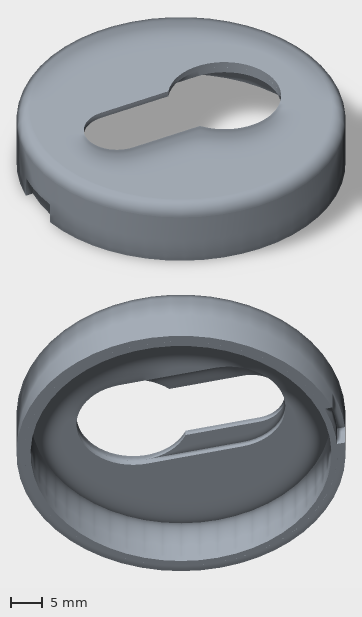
import cadquery as cq

outer_diameter = 52.0
height = 10.5
sheet = 1.0
cover_wall = 1.25
rim_fillet = 2.05

keyhole_length = 33.5
barrel_diameter = 17.9
slot_width = 10.5

notch_width = 8.0
notch_height = 3.5

outer_radius = outer_diameter / 2
cover_inner_radius = outer_radius - cover_wall
liner_inner_radius = cover_inner_radius - sheet
liner_height = height - sheet
liner_inner_height = liner_height - sheet
barrel_y = (keyhole_length - barrel_diameter) / 2
slot_end_y = (slot_width - keyhole_length) / 2


def disc(radius, thickness):
    """Solid disc on the Z axis, standing on z = 0."""
    return cq.Workplane("XY").circle(radius).extrude(thickness)


def keyhole_cutter():
    """Barrel circle joined to a straight slot with a round end."""
    barrel = cq.Workplane("XY").center(0, barrel_y).circle(barrel_diameter / 2).extrude(height)
    slot = (
        cq.Workplane("XY")
        .moveTo(-slot_width / 2, barrel_y)
        .lineTo(-slot_width / 2, slot_end_y)
        .threePointArc((0, -keyhole_length / 2), (slot_width / 2, slot_end_y))
        .lineTo(slot_width / 2, barrel_y)
        .close()
        .extrude(height)
    )
    return barrel.union(slot)


def notch_cutter():
    """Block that opens the cover wall at the bottom of the -Y side."""
    return (
        cq.Workplane("XY")
        .center(0, -outer_radius / 2)
        .rect(notch_width, outer_radius)
        .extrude(notch_height)
    )


def make_cover():
    """Outer cap with a rounded rim, the keyhole and the wall notch."""
    cap = disc(outer_radius, height).faces(">Z").edges().fillet(rim_fillet)
    hollow = disc(cover_inner_radius, liner_height)
    return cap.cut(hollow).cut(keyhole_cutter()).cut(notch_cutter())


def make_liner():
    """Inner cap that fills the cover, with an obround opening as wide as the barrel."""
    cap = disc(cover_inner_radius, liner_height)
    hollow = disc(liner_inner_radius, liner_inner_height)
    opening = (
        cq.Workplane("XY")
        .slot2D(keyhole_length, barrel_diameter, angle=90)
        .extrude(liner_height)
    )
    return cap.cut(hollow).cut(opening)


cover = make_cover()
liner = make_liner()

result = cq.Compound.makeCompound([cover.val(), liner.val()])